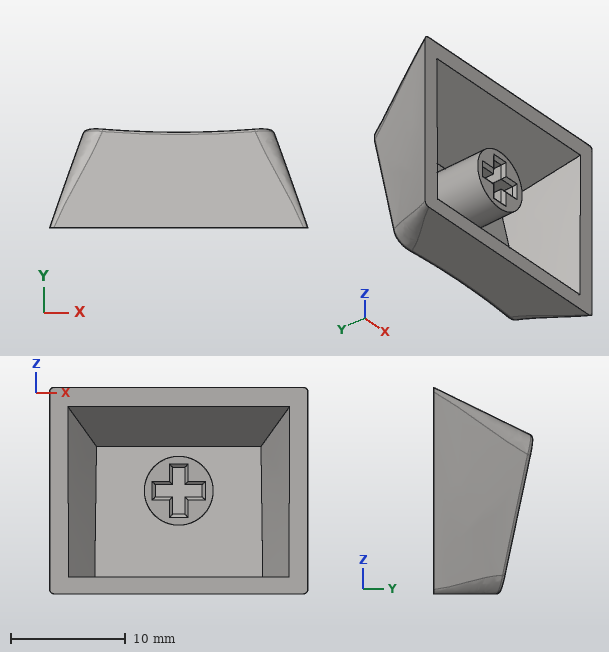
import math

import cadquery as cq

base_width = 22.5
base_height = 18.0
base_corner_radius = 0.4

top_tilt = math.radians(12.0)
top_width = 16.5
top_length = 14.0
top_low_edge_y = 5.9
top_corner_radius = 1.8
top_rim_radius = 0.4
dish_depth = 0.45

wall = 1.5

stem_diameter = 6.0
stem_start_y = 1.0
stem_centre_z = base_height / 2
cross_span = 4.05
cross_slot_width = 1.05
cross_chamfer = 0.3

top_high_edge_y = top_low_edge_y + top_length * math.sin(top_tilt)
top_high_edge_z = top_length * math.cos(top_tilt)

dish_radius = (top_width / 2) ** 2 / (2 * dish_depth) + dish_depth / 2

stem_length = top_high_edge_y


def rectangle_wire(width, low_edge, high_edge):
    """Rectangle centred in X, between two edges given as (y, z)."""
    half = width / 2
    corners = [
        cq.Vector(-half, *low_edge),
        cq.Vector(half, *low_edge),
        cq.Vector(half, *high_edge),
        cq.Vector(-half, *high_edge),
    ]
    return cq.Wire.makePolygon(corners, close=True)


def make_sharp_body():
    """Solid ruled loft from the base outline to the tilted key top."""
    base = rectangle_wire(base_width, (0, 0), (0, base_height))
    top = rectangle_wire(top_width, (top_low_edge_y, 0), (top_high_edge_y, top_high_edge_z))
    return cq.Workplane(obj=cq.Solid.makeLoft([base, top], True))


def make_cavity(sharp_body):
    """Inside space left by a constant wall, open at the base."""
    shell = sharp_body.faces("<Y").shell(-wall)
    return sharp_body.cut(shell)


def round_corner_edges(sharp_body):
    """Round the four corner edges with a radius that grows from base to top."""
    fillet = cq.occ_impl.shapes.BRepFilletAPI_MakeFillet(sharp_body.val().wrapped)
    corner_edges = sharp_body.edges().vals()
    for flat_face in ("<Y", ">Y"):
        outline = sharp_body.faces(flat_face).edges().vals()
        corner_edges = [edge for edge in corner_edges if edge not in outline]
    for edge in corner_edges:
        fillet.Add(edge.wrapped)
        contour = fillet.NbContours()
        base_end, top_end = sorted(edge.Vertices(), key=lambda vertex: vertex.Y)
        fillet.SetRadius(base_corner_radius, contour, base_end.wrapped)
        fillet.SetRadius(top_corner_radius, contour, top_end.wrapped)
    return cq.Workplane(obj=cq.Shape.cast(fillet.Shape()))


def cut_dish(body):
    """Hollow the key top with a large cylinder that runs along its slope."""
    slope = cq.Vector(0, math.sin(top_tilt), math.cos(top_tilt))
    outward = cq.Vector(0, math.cos(top_tilt), -math.sin(top_tilt))
    low_edge_middle = cq.Vector(0, top_low_edge_y, 0)
    overrun = top_length
    start = low_edge_middle + outward * (dish_radius - dish_depth) - slope * overrun
    dish = cq.Solid.makeCylinder(dish_radius, top_length + 2 * overrun, start, slope)
    return body.cut(cq.Workplane(obj=dish))


def round_top_rim(body):
    """Round the rim around the dish, which is the only cylindrical face."""
    dish_face = body.faces("%CYLINDER")
    return dish_face.edges().fillet(top_rim_radius)


def make_stem():
    """Round post with a cross-shaped through socket, chamfered at its mouth."""
    plane = cq.Workplane("XZ", origin=(0, stem_start_y, stem_centre_z))
    post = plane.circle(stem_diameter / 2).extrude(-stem_length)
    for width, height in ((cross_span, cross_slot_width), (cross_slot_width, cross_span)):
        slot = plane.rect(width, height).extrude(-stem_length)
        post = post.cut(slot)
    return post.faces("<Y").edges("|X or |Z").chamfer(cross_chamfer)


sharp_body = make_sharp_body()
cavity = make_cavity(sharp_body)
outer_body = round_top_rim(cut_dish(round_corner_edges(sharp_body)))

result = outer_body.cut(cavity.cut(make_stem()))